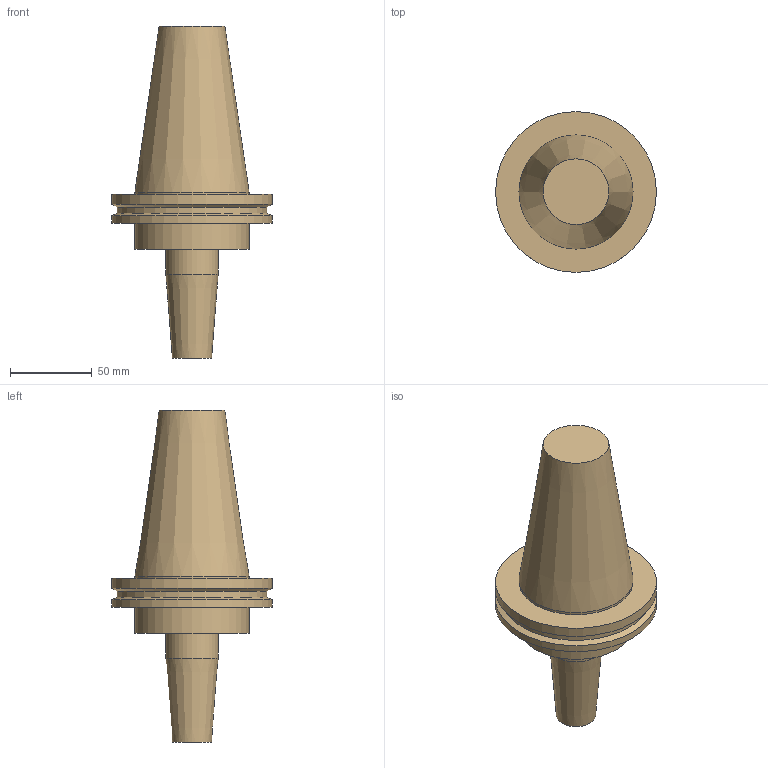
import cadquery as cq

gauge_diameter = 69.85
taper_ratio = 7 / 24
taper_length = 101.6
taper_small_diameter = gauge_diameter - taper_length * taper_ratio

flange_diameter = 98.43
flange_top_z = -1.5
flange_bottom_z = -19.05
groove_floor_diameter = 91.5
groove_center_z = -11.11
groove_floor_width = 3.85
groove_opening_width = 6.95

body_bottom_z = -35.0
stem_diameter = 32.0
stem_bottom_z = -50.3
nose_tip_diameter = 24.0
nose_tip_z = -101.6


def cylinder(diameter, bottom_z, top_z):
    """Solid cylinder on the Z axis between two heights."""
    return cq.Workplane("XY", origin=(0, 0, bottom_z)).circle(diameter / 2).extrude(top_z - bottom_z)


def cone(bottom_diameter, top_diameter, bottom_z, top_z):
    """Solid truncated cone on the Z axis between two heights."""
    base = cq.Vector(0, 0, bottom_z)
    axis = cq.Vector(0, 0, 1)
    solid = cq.Solid.makeCone(bottom_diameter / 2, top_diameter / 2, top_z - bottom_z, base, axis)
    return cq.Workplane(obj=solid)


def grooved_flange():
    """Flange disc with the gripper groove, revolved from its half section."""
    rim_radius = flange_diameter / 2
    floor_radius = groove_floor_diameter / 2
    half_section = [
        (0, flange_bottom_z),
        (rim_radius, flange_bottom_z),
        (rim_radius, groove_center_z - groove_opening_width / 2),
        (floor_radius, groove_center_z - groove_floor_width / 2),
        (floor_radius, groove_center_z + groove_floor_width / 2),
        (rim_radius, groove_center_z + groove_opening_width / 2),
        (rim_radius, flange_top_z),
        (0, flange_top_z),
    ]
    return cq.Workplane("XZ").polyline(half_section).close().revolve(360, (0, 0), (0, 1))


shank = cone(gauge_diameter, taper_small_diameter, 0, taper_length)
body = cylinder(gauge_diameter, body_bottom_z, 0)
stem = cylinder(stem_diameter, stem_bottom_z, body_bottom_z)
nose = cone(nose_tip_diameter, stem_diameter, nose_tip_z, stem_bottom_z)

result = shank.union(body).union(grooved_flange()).union(stem).union(nose)